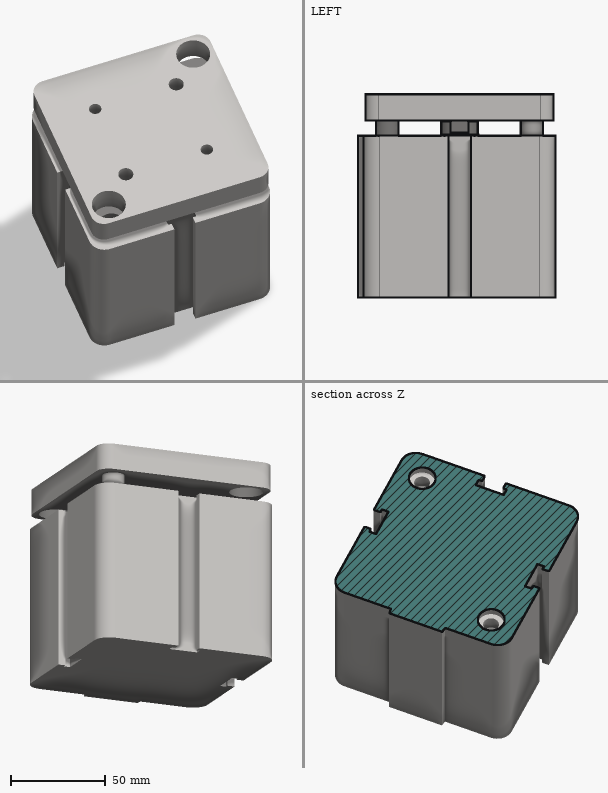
import cadquery as cq
import math

overall_height = 108.0

housing_width = 102.0
housing_height = 86.0
housing_corner_radius = 8.4

slot_opening = 12.0
slot_inner_width = 16.0
slot_lip_depth = 4.0
slot_depth = 7.6

pad_height = 3.0
pad_base_width = 31.8
pad_taper_angle = 8.0

mounting_offset = 36.0
mounting_hole_diameter = 8.4
counterbore_diameter = 14.0
counterbore_depth = 8.6
mounting_hole_depth = 16.6

plate_width = 100.0
plate_thickness = 14.0
plate_corner_radius = 7.0

corner_offset = 38.5
access_hole_diameter = 18.0
fixing_offset = 23.0
tapped_hole_diameter = 6.6
dowel_hole_diameter = 8.0

guide_rod_diameter = 12.0
piston_rod_diameter = 19.5
piston_rod_chamfer = 0.4
collar_diameter = 20.0
collar_rim_height = 0.5
wrench_flat_width = 17.0
wrench_flat_base = 1.7

plate_bottom = overall_height - plate_thickness
rod_length = plate_bottom - housing_height


def on_diagonal(offset, direction):
    """Two opposite points; direction 1 lies on the x = y diagonal, -1 on the x = -y diagonal."""
    return [(offset, direction * offset), (-offset, -direction * offset)]


def rounded_block(width, height, corner_radius, base_z):
    block = cq.Workplane("XY").workplane(offset=base_z).rect(width, width).extrude(height)
    return block.edges("|Z").fillet(corner_radius)


def t_slot():
    """T-shaped channel in the -Y side."""
    face_y = -housing_width / 2
    opening = cq.Workplane("XY").box(
        slot_opening, slot_depth, housing_height, centered=(True, False, False)
    )
    inner = cq.Workplane("XY").box(
        slot_inner_width, slot_depth - slot_lip_depth, housing_height, centered=(True, False, False)
    )
    return opening.union(inner.translate((0, slot_lip_depth, 0))).translate((0, face_y, 0))


def side_pad():
    """Pad whose sides lean inward away from the housing."""
    face_y = housing_width / 2
    base_half = pad_base_width / 2
    tip_half = base_half - pad_height * math.tan(math.radians(pad_taper_angle))
    outline = [
        (-base_half, face_y),
        (base_half, face_y),
        (tip_half, face_y + pad_height),
        (-tip_half, face_y + pad_height),
    ]
    return cq.Workplane("XY").polyline(outline).close().extrude(housing_height)


def make_housing():
    body = rounded_block(housing_width, housing_height, housing_corner_radius, 0)
    body = body.union(side_pad())
    for angle in (-90, 0, 90):
        body = body.cut(t_slot().rotate((0, 0, 0), (0, 0, 1), angle))
    return (
        body.faces(">Z")
        .workplane(origin=(0, 0, housing_height))
        .pushPoints(on_diagonal(mounting_offset, -1))
        .cboreHole(mounting_hole_diameter, counterbore_diameter, counterbore_depth, mounting_hole_depth)
    )


def piston_rod():
    """Central rod with a low flared collar at its foot and wrench flats facing -X and +X."""
    rod_radius = piston_rod_diameter / 2
    collar_radius = collar_diameter / 2
    flare_height = collar_radius - rod_radius
    tip_radius = rod_radius - piston_rod_chamfer / 2
    profile = [
        (0, housing_height),
        (collar_radius, housing_height),
        (collar_radius, housing_height + collar_rim_height),
        (rod_radius, housing_height + collar_rim_height + flare_height),
        (rod_radius, plate_bottom - piston_rod_chamfer),
        (tip_radius, plate_bottom),
        (0, plate_bottom),
    ]
    rod = cq.Workplane("XZ").polyline(profile).close().revolve(360, (0, 0), (0, 1))
    flat_zone = (
        cq.Workplane("XY")
        .workplane(offset=housing_height + wrench_flat_base)
        .rect(piston_rod_diameter, piston_rod_diameter)
        .rect(wrench_flat_width, piston_rod_diameter)
        .extrude(rod_length - wrench_flat_base)
    )
    return rod.cut(flat_zone)


def plate_holes(diameter, points):
    return (
        cq.Workplane("XY")
        .workplane(offset=plate_bottom)
        .pushPoints(points)
        .circle(diameter / 2)
        .extrude(plate_thickness)
    )


def make_slide():
    """Top plate with its piston rod and two guide rods, which stand on the housing."""
    plate = rounded_block(plate_width, plate_thickness, plate_corner_radius, plate_bottom)
    plate = plate.cut(plate_holes(access_hole_diameter, on_diagonal(corner_offset, -1)))
    plate = plate.cut(plate_holes(dowel_hole_diameter, on_diagonal(fixing_offset, -1)))
    plate = plate.cut(plate_holes(tapped_hole_diameter, on_diagonal(fixing_offset, 1)))
    guide_rods = (
        cq.Workplane("XY")
        .workplane(offset=housing_height)
        .pushPoints(on_diagonal(corner_offset, 1))
        .circle(guide_rod_diameter / 2)
        .extrude(rod_length)
    )
    return plate.union(guide_rods).union(piston_rod())


housing = make_housing()
slide = make_slide()

result = cq.Compound.makeCompound([housing.solids().val(), slide.solids().val()])